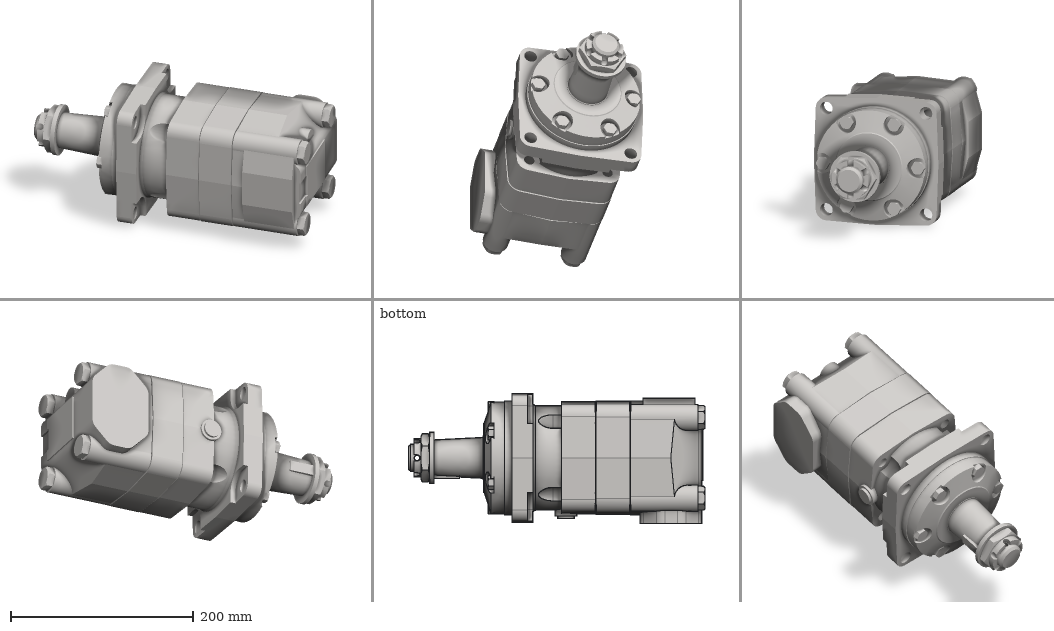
import cadquery as cq
import math


CROWN_X = 6.2
NUT_HEX_X = 13.7
WASHER_X = 23.5
TAPER_X = 28.5
COVER_X = 82.5
PILOT_X = 105.5
FLANGE_X = 113.8
NECK_X = 137.0
BLOCK_X = 168.3
BLOCK_END_X = 205.5
GEAR_X = 206.5
GEAR_END_X = 243.3
END_COVER_X = 244.2
BOSS_END_X = 318.0
REAR_FACE_X = 322.5
LENGTH = 326.0

OVERALL_WIDTH = 143.0

FLANGE_HEIGHT = 142.0
FLANGE_APEX = FLANGE_HEIGHT / 2
END_COVER_APEX = 62.5
FLANGE_OUTLINE = (FLANGE_APEX, 57.5, 68.8, 92.3)
BLOCK_OUTLINE = (61.5, 45.5, 58.5, 77.0)
GEAR_OUTLINE = (62.3, 44.7, 59.5, 77.3)
END_COVER_OUTLINE = (END_COVER_APEX, 44.0, 58.5, 75.0)

THREAD_D = 30.0
THREAD_CHAMFER = 2.5
TAPER_D = 45.0
TAPER_RATIO = 0.1
COLLAR_D = 47.5
COLLAR_X = 82.0
COTTER_D = 6.0

KEY_WIDTH = 11.7
KEY_LENGTH = 28.0
KEY_TOP = 22.8
KEY_HEIGHT = 7.8

NUT_FLATS = 46.0
NUT_CHAMFER = 1.5
CROWN_D = 42.0
SLOT_COUNT = 6
SLOT_WIDTH = 7.0
SLOT_END_X = 13.0
WASHER_D = 56.5

COVER_D = 123.3
COVER_RIM_X = 90.5
FACE_RING_D = 75.0
FACE_RING_CHAMFER = 1.0
SCREW_COUNT = 6
SCREW_CIRCLE_R = 54.0
SCREW_FLATS = 13.5
SCREW_HEAD_X = 87.7
SPOTFACE_D = 22.8
SPOTFACE_X = 94.0
SCREW_CHAMFER = 0.5

PILOT_D = 125.2
NECK_D = 114.8
NECK_CHAMFER = 3.0
FLANGE_HOLE_D = 14.5
FLANGE_HOLE_OFFSET = 56.7
RELIEF_X = 131.0
RELIEF_EDGE = 37.8
BOLT_OFFSET = 44.5
BOLT_HOLE_D = 11.7
SCALLOP_D = 24.0
SCALLOP_X = 158.8
SCALLOP_NOSE = 19.5
PLUG_X = 173.0
PLUG_COLLAR_D = 24.0
PLUG_COLLAR_TOP = 64.0
PLUG_HEAD_D = 18.5
PLUG_HEAD_TOP = 67.0
PLUG_ROOT = 49.0

SPACER_D = 103.0

WEDGE_X = 288.3
REAR_EDGE_Z = END_COVER_APEX - (REAR_FACE_X - WEDGE_X)
REAR_FILLET = 13.0
BOSS_D = 28.7
BOLT_FLATS = 22.8
BOLT_CHAMFER = 1.5
PAD_X = 257.5
PAD_END_X = 315.0
PAD_HALF_HEIGHT = 45.5
PAD_FLAT_HALF = 20.2
PAD_FACE = 65.5
PAD_EDGE = 58.5
SIDE_TRIM = 57.0
SIDE_ROOT = 42.5
PORT_X = 254.5
PORT_HALF_HEIGHT = 49.5
PORT_CHAMFER = 22.2
PORT_FACE = OVERALL_WIDTH - FLANGE_APEX
DOME_D = 24.0
DOME_Z = 36.2
PLATE_X = 323.8
PLATE_HALF_HEIGHT = 25.0
PLATE_TOP = 24.8
PLATE_BOTTOM = -39.0
NOTCH_X = 320.2
NOTCH_HALF_HEIGHT = 12.7
NOTCH_FLOOR = -36.0


def disc(diameter, x_start, x_end, y=0, z=0):
    """Cylinder along X."""
    plane = cq.Workplane("YZ", origin=(x_start, y, z))
    return plane.circle(diameter / 2).extrude(x_end - x_start)


def turned(points):
    """Solid of revolution about the X axis from (x, radius) points."""
    return cq.Workplane("XY").polyline(points).close().revolve(360, (0, 0), (1, 0))


def box(x_range, y_range, z_range):
    """Block between pairs of X, Y and Z limits."""
    size = [high - low for low, high in (x_range, y_range, z_range)]
    corner = (x_range[0], y_range[0], z_range[0])
    return cq.Workplane("XY").box(*size, centered=False).translate(corner)


def hexagon(flats, x_start, x_end, y=0, z=0):
    """Hexagonal prism along X with its corners towards +Y and -Y."""
    plane = cq.Workplane("YZ", origin=(x_start, y, z))
    return plane.polygon(6, flats / math.cos(math.pi / 6)).extrude(x_end - x_start)


def square_positions(offset):
    """Four (y, z) places at the corners of a square."""
    return [(y, z) for y in (-offset, offset) for z in (-offset, offset)]


def bowed_square(outline, x_start, x_end):
    """Prism along X: a square whose four sides peak in the middle, with rounded corners.

    outline holds the height mid-side, the two coordinates where a side meets the corner arc,
    and the distance from the axis to the middle of the arc.
    """
    apex, edge_half, edge_height, diagonal = outline
    arc_middle = diagonal / math.sqrt(2)
    sketch = cq.Workplane("YZ", origin=(x_start, 0, 0)).moveTo(0, apex)
    for quarter in range(4):
        turn = -quarter * math.pi / 2

        def place(y, z):
            return (y * math.cos(turn) - z * math.sin(turn), y * math.sin(turn) + z * math.cos(turn))

        sketch = sketch.lineTo(*place(edge_half, edge_height))
        sketch = sketch.threePointArc(place(arc_middle, arc_middle), place(edge_height, edge_half))
        if quarter < 3:
            sketch = sketch.lineTo(*place(apex, 0))
    return sketch.close().extrude(x_end - x_start)


def shaft_outline():
    """Threaded end, taper and the journal inside the front cover."""
    thread_r = THREAD_D / 2
    taper_small_r = (TAPER_D - TAPER_RATIO * (COLLAR_X - TAPER_X)) / 2
    return turned([
        (0, 0),
        (0, thread_r - THREAD_CHAMFER),
        (THREAD_CHAMFER, thread_r),
        (TAPER_X, thread_r),
        (TAPER_X, taper_small_r),
        (COLLAR_X, TAPER_D / 2),
        (COLLAR_X, COLLAR_D / 2),
        (PILOT_X, COLLAR_D / 2),
        (PILOT_X, 0),
    ])


def make_key():
    """Square-ended key, parallel to the axis on the +Y side of the taper."""
    return box(
        (TAPER_X, TAPER_X + KEY_LENGTH),
        (KEY_TOP - KEY_HEIGHT, KEY_TOP),
        (-KEY_WIDTH / 2, KEY_WIDTH / 2),
    )


def cotter_hole():
    """Cross hole along Z, in line with two nut slots."""
    plane = cq.Workplane("XY", origin=((CROWN_X + SLOT_END_X) / 2, 0, -CROWN_D))
    return plane.circle(COTTER_D / 2).extrude(2 * CROWN_D)


def make_shaft(key):
    return shaft_outline().cut(cotter_hole()).cut(key)


def make_nut():
    """Hexagonal castle nut with round-bottomed slots in its crown."""
    corner_r = NUT_FLATS / 2 / math.cos(math.pi / 6)
    face_r = NUT_FLATS / 2
    envelope = turned([
        (NUT_HEX_X, 0),
        (NUT_HEX_X, face_r),
        (NUT_HEX_X + NUT_CHAMFER, corner_r),
        (WASHER_X - NUT_CHAMFER, corner_r),
        (WASHER_X, face_r),
        (WASHER_X, 0),
    ])
    nut = hexagon(NUT_FLATS, NUT_HEX_X, WASHER_X).intersect(envelope)
    nut = nut.union(disc(CROWN_D, CROWN_X, NUT_HEX_X))
    slot_r = SLOT_WIDTH / 2
    slot_center_x = SLOT_END_X - slot_r
    slot = box((CROWN_X, slot_center_x), (-slot_r, slot_r), (0, CROWN_D))
    slot = slot.union(cq.Workplane("XY", origin=(slot_center_x, 0, 0)).circle(slot_r).extrude(CROWN_D))
    for i in range(SLOT_COUNT):
        nut = nut.cut(slot.rotate((0, 0, 0), (1, 0, 0), i * 360 / SLOT_COUNT))
    return nut.cut(disc(THREAD_D, CROWN_X, WASHER_X))


def make_washer():
    return disc(WASHER_D, WASHER_X, TAPER_X).cut(disc(THREAD_D, WASHER_X, TAPER_X))


def hex_head(flats, chamfer, outer_face, x_start, x_end, y, z):
    """Hexagonal screw head along X whose outer face ("<X" or ">X") has chamfered corners."""
    corner_d = flats / math.cos(math.pi / 6)
    cone = disc(corner_d, x_start, x_end, y, z).faces(outer_face).chamfer(chamfer)
    return hexagon(flats, x_start, x_end, y, z).intersect(cone)


def make_front_cover():
    """Conical cover with six screw heads in spotfaces and a bore for the shaft."""
    ring_r = FACE_RING_D / 2
    cover = turned([
        (COVER_X, 0),
        (COVER_X, ring_r),
        (COVER_X + FACE_RING_CHAMFER, ring_r + FACE_RING_CHAMFER),
        (COVER_RIM_X, COVER_D / 2),
        (PILOT_X, COVER_D / 2),
        (PILOT_X, 0),
    ])
    for i in range(SCREW_COUNT):
        angle = i * 2 * math.pi / SCREW_COUNT
        y = SCREW_CIRCLE_R * math.cos(angle)
        z = SCREW_CIRCLE_R * math.sin(angle)
        cover = cover.cut(disc(SPOTFACE_D, COVER_X, SPOTFACE_X, y, z))
        head = hex_head(SCREW_FLATS, SCREW_CHAMFER, "<X", SCREW_HEAD_X, SPOTFACE_X, y, z)
        cover = cover.union(head)
    return cover.cut(disc(COLLAR_D, COVER_X, PILOT_X))


def scallop(y, z):
    """Round channel along X with a pointed-arch nose, ending at the housing block."""
    radius = SCALLOP_D / 2
    arc_r = (SCALLOP_NOSE**2 + radius**2) / (2 * radius)
    half_angle = math.asin(SCALLOP_NOSE / arc_r) / 2
    arc_middle = (SCALLOP_X - arc_r * math.sin(half_angle), radius - arc_r * (1 - math.cos(half_angle)))
    profile = (
        cq.Workplane("XY")
        .moveTo(SCALLOP_X - SCALLOP_NOSE, 0)
        .threePointArc(arc_middle, (SCALLOP_X, radius))
        .lineTo(BLOCK_X, radius)
        .lineTo(BLOCK_X, 0)
        .close()
    )
    return profile.revolve(360, (0, 0), (1, 0)).translate((0, y, z))


def drain_plug():
    """Collared plug standing on the +Y side of the housing."""
    plane = cq.Workplane("XZ", origin=(PLUG_X, PLUG_ROOT, 0))
    collar = plane.circle(PLUG_COLLAR_D / 2).extrude(PLUG_ROOT - PLUG_COLLAR_TOP)
    head = plane.circle(PLUG_HEAD_D / 2).extrude(PLUG_ROOT - PLUG_HEAD_TOP)
    return collar.union(head)


def make_housing():
    """Pilot, mounting flange, neck and square block, with the drain plug."""
    flange = bowed_square(FLANGE_OUTLINE, FLANGE_X, NECK_X)
    corner_range = (RELIEF_EDGE, FLANGE_APEX)
    relief = box((RELIEF_X, NECK_X), corner_range, corner_range)
    relief = relief.edges("|X and <Y and <Z").fillet(FLANGE_HOLE_OFFSET - RELIEF_EDGE)
    for quarter in range(4):
        flange = flange.cut(relief.rotate((0, 0, 0), (1, 0, 0), quarter * 90))
    for y, z in square_positions(FLANGE_HOLE_OFFSET):
        flange = flange.cut(disc(FLANGE_HOLE_D, FLANGE_X, NECK_X, y, z))
    neck_r = NECK_D / 2
    neck = turned([
        (RELIEF_X, 0),
        (RELIEF_X, neck_r + NECK_CHAMFER / 2),
        (NECK_X, neck_r + NECK_CHAMFER / 2),
        (NECK_X + NECK_CHAMFER, neck_r),
        (BLOCK_X, neck_r),
        (BLOCK_X, 0),
    ])
    block = bowed_square(BLOCK_OUTLINE, BLOCK_X, BLOCK_END_X)
    for y, z in square_positions(BOLT_OFFSET):
        neck = neck.cut(scallop(y, z))
        block = block.cut(disc(BOLT_HOLE_D, BLOCK_X, BLOCK_END_X, y, z))
    pilot = disc(PILOT_D, PILOT_X, FLANGE_X)
    return pilot.union(flange).union(neck).union(block).union(drain_plug())


def make_gear_set():
    """Square block with a round spacer on each end that keeps it off its neighbours."""
    block = bowed_square(GEAR_OUTLINE, GEAR_X, GEAR_END_X)
    return block.union(disc(SPACER_D, BLOCK_END_X, END_COVER_X))


def rear_profile():
    """Side profile of the end cover: 45 degree slopes top and bottom with a rounded rear edge."""
    profile = cq.Workplane("XZ", origin=(0, PORT_FACE, 0)).polyline([
        (END_COVER_X, -END_COVER_APEX),
        (WEDGE_X, -END_COVER_APEX),
        (REAR_FACE_X, -REAR_EDGE_Z),
        (REAR_FACE_X, REAR_EDGE_Z),
        (WEDGE_X, END_COVER_APEX),
        (END_COVER_X, END_COVER_APEX),
    ])
    prism = profile.close().extrude(2 * PORT_FACE)
    return prism.faces(">X").edges("|Y").fillet(REAR_FILLET)


def port_block():
    """Port block on the +Y side: an octagon with rounded corners, in line with the rear slopes."""
    rear_top_x = WEDGE_X + END_COVER_APEX - PORT_HALF_HEIGHT
    front_edge_z = PORT_HALF_HEIGHT - PORT_CHAMFER
    upper = [
        (PORT_X, front_edge_z),
        (PORT_X + PORT_CHAMFER, PORT_HALF_HEIGHT),
        (rear_top_x, PORT_HALF_HEIGHT),
        (REAR_FACE_X, REAR_EDGE_Z),
    ]
    lower = [(x, -z) for x, z in reversed(upper)]
    plane = cq.Workplane("XZ", origin=(0, SIDE_ROOT, 0))
    block = plane.polyline(upper + lower).close().extrude(SIDE_ROOT - PORT_FACE)
    return block.edges("|Y").fillet(REAR_FILLET)


def side_pad():
    """Raised pad on the -Y side with a flat middle and two sloping faces."""
    section = cq.Workplane("YZ", origin=(PAD_X, 0, 0)).polyline([
        (-SIDE_ROOT, -PAD_HALF_HEIGHT),
        (-PAD_EDGE, -PAD_HALF_HEIGHT),
        (-PAD_FACE, -PAD_FLAT_HALF),
        (-PAD_FACE, PAD_FLAT_HALF),
        (-PAD_EDGE, PAD_HALF_HEIGHT),
        (-SIDE_ROOT, PAD_HALF_HEIGHT),
    ])
    return section.close().extrude(PAD_END_X - PAD_X)


def make_end_cover():
    """Wedge-ended cover with bolt bosses, bolt heads, port block, side pad and end plate."""
    cover = bowed_square(END_COVER_OUTLINE, END_COVER_X, REAR_FACE_X)
    side_trim = box((PAD_END_X, LENGTH), (-PORT_FACE, -SIDE_TRIM), (-END_COVER_APEX, END_COVER_APEX))
    cover = cover.intersect(rear_profile()).cut(side_trim)
    plate = box(
        (WEDGE_X, PLATE_X), (PLATE_BOTTOM, PLATE_TOP), (-PLATE_HALF_HEIGHT, PLATE_HALF_HEIGHT)
    )
    notch = box(
        (NOTCH_X, LENGTH),
        (-SIDE_TRIM, NOTCH_FLOOR),
        (-NOTCH_HALF_HEIGHT, NOTCH_HALF_HEIGHT),
    )
    cover = cover.union(plate).cut(notch)
    for y, z in square_positions(BOLT_OFFSET):
        cover = cover.union(disc(BOSS_D, END_COVER_X, BOSS_END_X, y, z))
        cover = cover.union(hex_head(BOLT_FLATS, BOLT_CHAMFER, ">X", BOSS_END_X, LENGTH, y, z))
    dome = disc(DOME_D, WEDGE_X, PAD_END_X, 0, DOME_Z)
    return cover.union(dome).union(port_block()).union(side_pad())


key = make_key()
shaft = make_shaft(key)
nut = make_nut()
washer = make_washer()
front_cover = make_front_cover()
housing = make_housing()
gear_set = make_gear_set()
end_cover = make_end_cover()

result = cq.Compound.makeCompound([
    shaft.val(),
    key.val(),
    nut.val(),
    washer.val(),
    front_cover.val(),
    housing.val(),
    gear_set.val(),
    end_cover.val(),
])